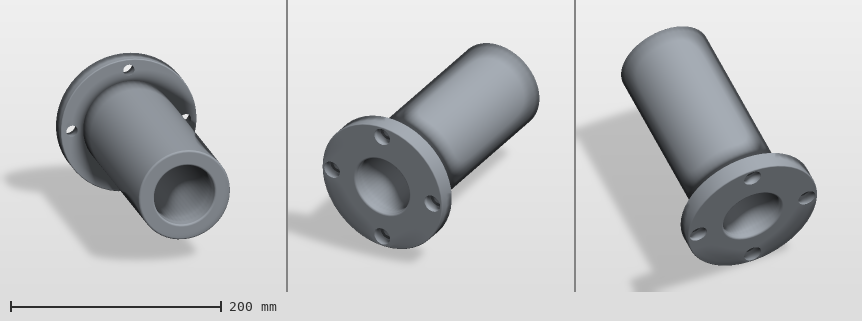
import cadquery as cq

total_length = 211.0
flange_diameter = 134.0
flange_thickness = 18.1
body_diameter = 90.0
bore_diameter = 60.0

screw_count = 4
screw_circle_diameter = 112.0
screw_hole_diameter = 11.0
counterbore_diameter = 17.5
counterbore_depth = 11.0

flange_fillet = 1.0
body_fillet = 2.0
bore_fillet = 2.0


def cylinder(diameter, length):
    """Cylinder along +X starting at the flange face."""
    return cq.Workplane("YZ").circle(diameter / 2).extrude(length)


def screw_pattern(diameter, depth):
    """Cylinders along +X at every screw position."""
    return (
        cq.Workplane("YZ")
        .polarArray(screw_circle_diameter / 2, 0, 360, screw_count)
        .circle(diameter / 2)
        .extrude(depth)
    )


flange = cylinder(flange_diameter, flange_thickness).edges().fillet(flange_fillet)
body = cylinder(body_diameter, total_length).faces(">X").edges().fillet(body_fillet)

bushing = flange.union(body).cut(cylinder(bore_diameter, total_length))
bore_edges = cq.selectors.RadiusNthSelector(0)
bushing = bushing.faces("<X or >X").edges(bore_edges).fillet(bore_fillet)

screw_holes = screw_pattern(screw_hole_diameter, flange_thickness)
counterbores = screw_pattern(counterbore_diameter, counterbore_depth)

result = bushing.cut(screw_holes).cut(counterbores)